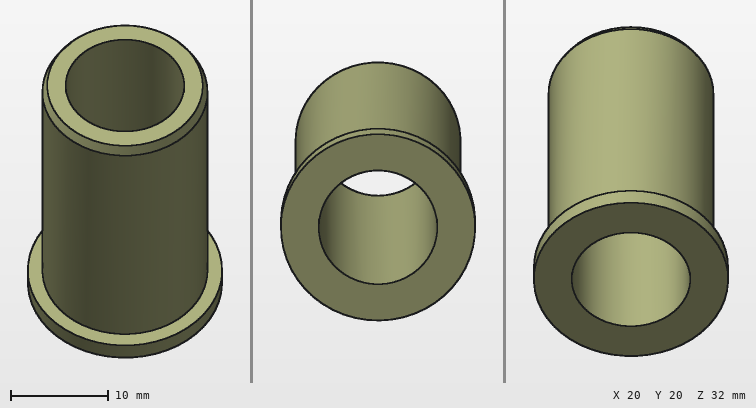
import cadquery as cq

total_height = 32.0
flange_diameter = 20.0
flange_thickness = 2.0
sleeve_diameter = 17.0
bore_diameter = 12.2

chamfer_height = 1.0
chamfer_inset = 0.5


def make_flange():
    """Flat collar at the base of the bushing."""
    return cq.Workplane("XY").circle(flange_diameter / 2).extrude(flange_thickness)


def make_sleeve():
    """Cylindrical sleeve with a steep conical lead-in at its top edge."""
    sleeve_radius = sleeve_diameter / 2
    profile = (
        cq.Workplane("XZ")
        .moveTo(0, 0)
        .lineTo(sleeve_radius, 0)
        .lineTo(sleeve_radius, total_height - chamfer_height)
        .lineTo(sleeve_radius - chamfer_inset, total_height)
        .lineTo(0, total_height)
        .close()
    )
    return profile.revolve(360, (0, 0, 0), (0, 1, 0))


def make_bore():
    """Straight through bore along the axis."""
    return cq.Workplane("XY").circle(bore_diameter / 2).extrude(total_height)


result = make_flange().union(make_sleeve()).cut(make_bore())